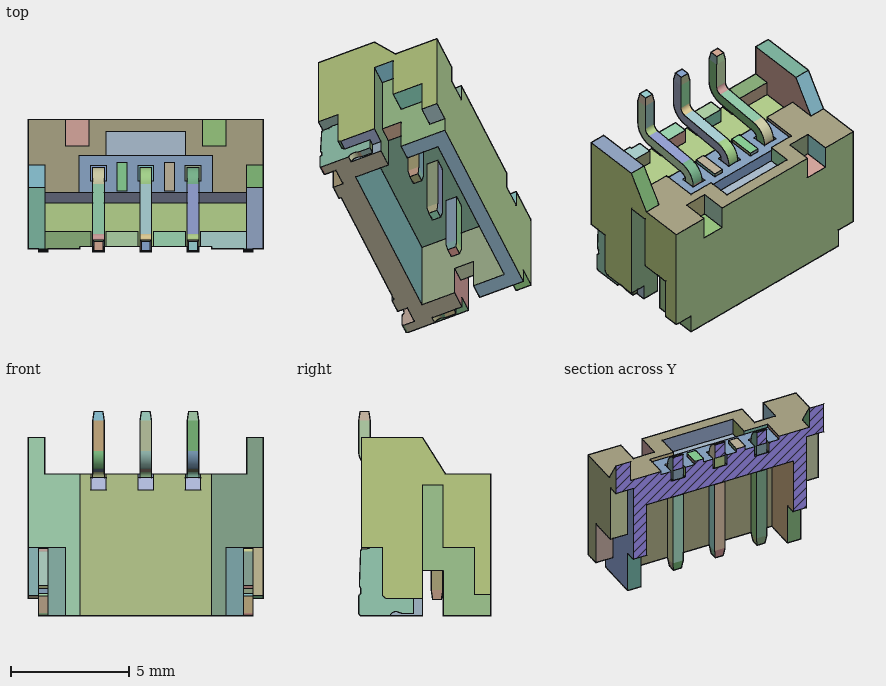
import cadquery as cq
import math


width = 9.95
back_y = 5.6
front_y = 0.12
deck_z = 6.01
ear_top_z = 7.55
half_width = width / 2

ear_thickness = 0.71
ear_slope_foot_y = 3.68
ear_slope_top_y = 2.71
ear_inner_x = half_width - ear_thickness

end_recess_depth = 0.83
end_step_low_z = 0.9
end_step_high_z = 2.9
end_step_y = 4.9
end_slot_back_y = 3.58
end_slot_front_y = ear_slope_top_y
end_slot_top_z = 5.54
mouth_notch_top_z = 1.91

cavity_half_width = 3.5
cavity_back_y = 5.0
cavity_front_y = 1.2
cavity_top_z = 4.5

tray_half_width = 2.82
tray_back_y = 4.08
tray_z = 5.85
tray_front_y = 2.51
trough_z = 5.33
trough_back_y = 2.06
rim_back_y = 0.86
pocket_width = 3.38
pocket_back_y = 5.1
pocket_z = 5.26
back_notch_x = 2.9
back_notch_width = 1.01
back_notch_y = 4.47
back_notch_depth = 1.1
rib_width = 0.43
rib_back_y = 3.77
rib_front_y = 2.57

panel_half_width = 2.79
panel_y = 0.22

pin_count = 3
pin_pitch = 2.0
pin_size = 0.5
pin_tip_size = 0.38
pin_tip_length = 0.4
pin_mating_y = 3.32
pin_low_z = 0.69
pin_top_z = 8.65
bend_inner_radius = 0.25
tail_bend_z = 6.96
pin_run_tilt = math.radians(3.5)
pin_notch_width = 0.64
pin_hole_width = 0.66
pin_hole_depth = 0.5

clip_outer_x = half_width - 0.43
clip_thickness = 0.41
clip_recess_depth = 0.7
clip_recess_y = 1.02
clip_recess_z = 0.73
clip_recess_chamfer = 0.13
clip_foot_y = 2.32
clip_foot_z = 0.1
clip_corner_radius = 0.12
clip_side_gap_x = half_width - 1.57
clip_side_gap_y = 0.57


def box(x0, x1, y0, y1, z0, z1):
    """Axis-aligned block between two opposite corners."""
    return cq.Workplane("XY").box(x1 - x0, y1 - y0, z1 - z0, centered=False).translate((x0, y0, z0))


def side_profile(points, x0, x1):
    """Closed (y, z) outline extruded from x0 to x1."""
    return cq.Workplane("YZ").polyline(points).close().extrude(x1 - x0).translate((x0, 0, 0))


def both_ends(shape):
    """A right-hand feature together with its mirror image."""
    return shape.union(shape.mirror("YZ"))


def pin_positions():
    first_x = -pin_pitch * (pin_count - 1) / 2
    return [first_x + pin_pitch * i for i in range(pin_count)]


def housing_block():
    ear_outline = [
        (back_y, 0),
        (back_y, deck_z),
        (ear_slope_foot_y, deck_z),
        (ear_slope_top_y, ear_top_z),
        (front_y, ear_top_z),
        (front_y, 0),
    ]
    core = box(-ear_inner_x, ear_inner_x, front_y, back_y, 0, deck_z)
    return core.union(both_ends(side_profile(ear_outline, ear_inner_x, half_width)))


def end_recesses():
    outline = [
        (back_y, 0),
        (back_y, end_step_low_z),
        (end_step_y, end_step_low_z),
        (end_step_y, end_step_high_z),
        (end_slot_back_y, end_step_high_z),
        (end_slot_back_y, end_slot_top_z),
        (end_slot_front_y, end_slot_top_z),
        (end_slot_front_y, 0),
    ]
    return both_ends(side_profile(outline, half_width - end_recess_depth, half_width))


def mating_cavity():
    cavity = box(-cavity_half_width, cavity_half_width, cavity_front_y, cavity_back_y, 0, cavity_top_z)
    mouth_notch = box(-half_width, half_width, end_slot_front_y, end_slot_back_y, 0, mouth_notch_top_z)
    return cavity.union(mouth_notch)


def deck_trough():
    """Cut across the deck with a sloped rear side, under the pin runs."""
    outline = [
        (tray_front_y, deck_z),
        (tray_front_y, tray_z),
        (trough_back_y, trough_z),
        (rim_back_y, trough_z),
        (rim_back_y, deck_z),
    ]
    return side_profile(outline, -ear_inner_x, ear_inner_x)


def deck_cuts():
    tray = box(-tray_half_width, tray_half_width, tray_front_y, tray_back_y, tray_z, deck_z)
    pocket = box(-pocket_width / 2, pocket_width / 2, tray_back_y, pocket_back_y, pocket_z, deck_z)
    back_notch = box(
        back_notch_x - back_notch_width / 2,
        back_notch_x + back_notch_width / 2,
        back_notch_y,
        back_y,
        deck_z - back_notch_depth,
        deck_z,
    )
    return deck_trough().union(tray).union(pocket).union(both_ends(back_notch))


def pin_clearances():
    """Rim notch and deck hole around every pin."""
    cuts = cq.Workplane("XY")
    hole_half = pin_hole_width / 2
    for x in pin_positions():
        notch_half = pin_notch_width / 2
        notch = box(x - notch_half, x + notch_half, front_y, rim_back_y, trough_z, deck_z)
        hole = box(
            x - hole_half,
            x + hole_half,
            pin_mating_y - hole_half,
            pin_mating_y + hole_half,
            tray_z - pin_hole_depth,
            tray_z,
        )
        cuts = cuts.add(notch).add(hole)
    return cuts.combine()


def front_panel():
    return box(-panel_half_width, panel_half_width, front_y, panel_y, 0, deck_z)


def clip_recesses():
    outline = [
        (end_slot_front_y, 0),
        (end_slot_front_y, clip_recess_z),
        (clip_recess_y + clip_recess_chamfer, clip_recess_z),
        (clip_recess_y, clip_recess_z + clip_recess_chamfer),
        (clip_recess_y, end_step_high_z),
        (front_y, end_step_high_z),
        (front_y, 0),
    ]
    seat = side_profile(outline, half_width - clip_recess_depth, half_width)
    gap = box(clip_side_gap_x, half_width, front_y, clip_side_gap_y, 0, end_step_high_z)
    return both_ends(seat.union(gap))


def deck_ribs():
    """Ribs standing in the tray midway between neighbouring pins."""
    ribs = cq.Workplane("XY")
    for x in pin_positions()[:-1]:
        middle_x = x + pin_pitch / 2
        ribs = ribs.add(
            box(middle_x - rib_width / 2, middle_x + rib_width / 2, rib_front_y, rib_back_y, tray_z, deck_z)
        )
    return ribs.combine()


def solder_clips():
    nose_top = (0.08, 2.72)
    nose_bottom = (0.03, 1.28)
    groove_top = (0.09, 1.15)
    groove_bottom = (0.09, 0.95)
    heel_top_z = 0.84
    dimple_back = (1.86, clip_foot_z)
    dimple_ramp = (1.71, 0.14)
    dimple_peak = (1.57, 0.18)
    dimple_front = (1.33, 0)
    shoulder_back = (0.52, end_step_high_z)
    shoulder_front = (0.41, 2.84)
    lip_start = (0.18, 2.83)
    lip_middle = (0.11, 2.8)

    corner_mid = clip_corner_radius * (1 - 0.5**0.5)
    profile = (
        cq.Workplane("YZ")
        .moveTo(clip_recess_y, end_step_high_z)
        .lineTo(*shoulder_back)
        .lineTo(*shoulder_front)
        .lineTo(*lip_start)
        .threePointArc(lip_middle, nose_top)
        .lineTo(*nose_bottom)
        .lineTo(*groove_top)
        .lineTo(*groove_bottom)
        .lineTo(0, heel_top_z)
        .lineTo(0, clip_corner_radius)
        .threePointArc((corner_mid, corner_mid), (clip_corner_radius, 0))
        .lineTo(*dimple_front)
        .threePointArc(dimple_peak, dimple_ramp)
        .lineTo(*dimple_back)
        .lineTo(clip_foot_y, clip_foot_z)
        .lineTo(clip_foot_y, clip_recess_z)
        .lineTo(clip_recess_y + clip_recess_chamfer, clip_recess_z)
        .lineTo(clip_recess_y, clip_recess_z + clip_recess_chamfer)
        .close()
    )
    clip = profile.extrude(clip_thickness).translate((clip_outer_x - clip_thickness, 0, 0))
    return both_ends(clip)


def pin_tip(x, y, base_z, end_z):
    return (
        cq.Workplane("XY", origin=(x, y, base_z))
        .rect(pin_size, pin_size)
        .workplane(offset=end_z - base_z)
        .rect(pin_tip_size, pin_tip_size)
        .loft(combine=True)
    )


def pin(x):
    """Square wire: up from the cavity, forward over the deck on a slight rise, then up to the tail."""
    tail_y = pin_size / 2
    low_end_z = pin_low_z + pin_tip_length
    high_end_z = pin_top_z - pin_tip_length
    bend_radius = bend_inner_radius + pin_size / 2

    tilt_sin = math.sin(pin_run_tilt)
    tilt_cos = math.cos(pin_run_tilt)
    low_bend_y = pin_mating_y - bend_radius
    tail_bend_y = tail_y + bend_radius
    run_length = (low_bend_y - tail_bend_y + 2 * bend_radius * tilt_sin) / tilt_cos
    low_bend_z = tail_bend_z - run_length * tilt_sin - 2 * bend_radius * tilt_cos

    half_turn = (math.pi / 2 - pin_run_tilt) / 2
    middle_dy = bend_radius * math.cos(half_turn)
    middle_dz = bend_radius * math.sin(half_turn)
    end_dy = bend_radius * tilt_sin
    end_dz = bend_radius * tilt_cos
    path = (
        cq.Workplane("YZ", origin=(x, 0, 0))
        .moveTo(pin_mating_y, low_end_z)
        .lineTo(pin_mating_y, low_bend_z)
        .threePointArc(
            (low_bend_y + middle_dy, low_bend_z + middle_dz),
            (low_bend_y + end_dy, low_bend_z + end_dz),
        )
        .lineTo(tail_bend_y - end_dy, tail_bend_z - end_dz)
        .threePointArc(
            (tail_bend_y - middle_dy, tail_bend_z - middle_dz),
            (tail_y, tail_bend_z),
        )
        .lineTo(tail_y, high_end_z)
    )
    section = cq.Workplane("XY", origin=(x, pin_mating_y, low_end_z)).rect(pin_size, pin_size)
    wire = section.sweep(path)
    mating_tip = pin_tip(x, pin_mating_y, low_end_z, pin_low_z)
    tail_tip = pin_tip(x, tail_y, high_end_z, pin_top_z)
    return wire.union(mating_tip).union(tail_tip)


result = housing_block()
for cut in (
    end_recesses(),
    mating_cavity(),
    deck_cuts(),
    pin_clearances(),
    front_panel(),
    clip_recesses(),
):
    result = result.cut(cut)
result = result.union(deck_ribs()).union(solder_clips())
for pin_x in pin_positions():
    result = result.union(pin(pin_x))